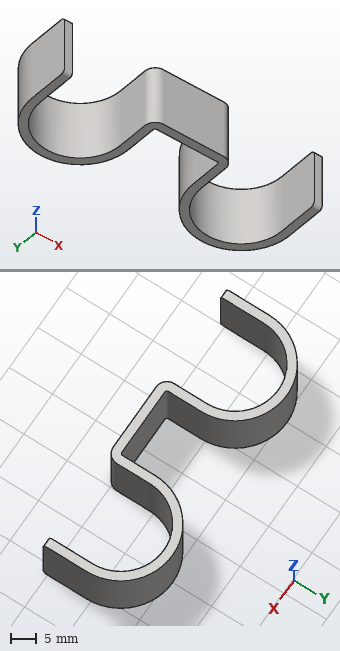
import cadquery as cq

strip_thickness = 2.0
strip_width = 14.0
saddle_inner_radius = 10.0
saddle_spacing = 40.0
leg_length = 10.0
bend_inner_radius = 0.5
tip_radius = 1.0

saddle_outer_radius = saddle_inner_radius + strip_thickness
bend_outer_radius = bend_inner_radius + strip_thickness
saddle_x = saddle_spacing / 2
leg_end_y = -leg_length
web_inner_y = leg_end_y + strip_thickness

inner_leg_web_face = saddle_x - saddle_outer_radius
inner_leg_pipe_face = saddle_x - saddle_inner_radius
outer_leg_pipe_face = saddle_x + saddle_inner_radius
outer_leg_outside = saddle_x + saddle_outer_radius


def make_half_strip():
    """+X half of the strip, cut at the middle of the web, with sharp web corners."""
    return (
        cq.Workplane("XY")
        .moveTo(0, leg_end_y)
        .lineTo(inner_leg_pipe_face, leg_end_y)
        .lineTo(inner_leg_pipe_face, 0)
        .threePointArc((saddle_x, saddle_inner_radius), (outer_leg_pipe_face, 0))
        .lineTo(outer_leg_pipe_face, leg_end_y)
        .lineTo(outer_leg_outside, leg_end_y)
        .lineTo(outer_leg_outside, 0)
        .threePointArc((saddle_x, saddle_outer_radius), (inner_leg_web_face, 0))
        .lineTo(inner_leg_web_face, web_inner_y)
        .lineTo(0, web_inner_y)
        .close()
        .extrude(strip_width)
    )


def edge_at(x, y):
    """Selector for the full-width edge standing at the given corner."""
    middle = cq.Vector(x, y, strip_width / 2)
    return cq.selectors.NearestToPointSelector(middle.toTuple())


def round_web_bend(half_strip):
    """Concentric inside and outside radii where the web meets the inner leg."""
    outside_rounded = (
        half_strip.edges("|Z")
        .edges(edge_at(inner_leg_pipe_face, leg_end_y))
        .fillet(bend_outer_radius)
    )
    return (
        outside_rounded.edges("|Z")
        .edges(edge_at(inner_leg_web_face, web_inner_y))
        .fillet(bend_inner_radius)
    )


def round_leg_tip(half_strip):
    """Round the two corners at the free end of the outer leg."""
    leg_tip = half_strip.faces("<Y").faces(">X")
    return leg_tip.edges("|X").fillet(tip_radius)


half_clip = round_leg_tip(round_web_bend(make_half_strip()))
result = half_clip.union(half_clip.mirror("YZ")).clean()